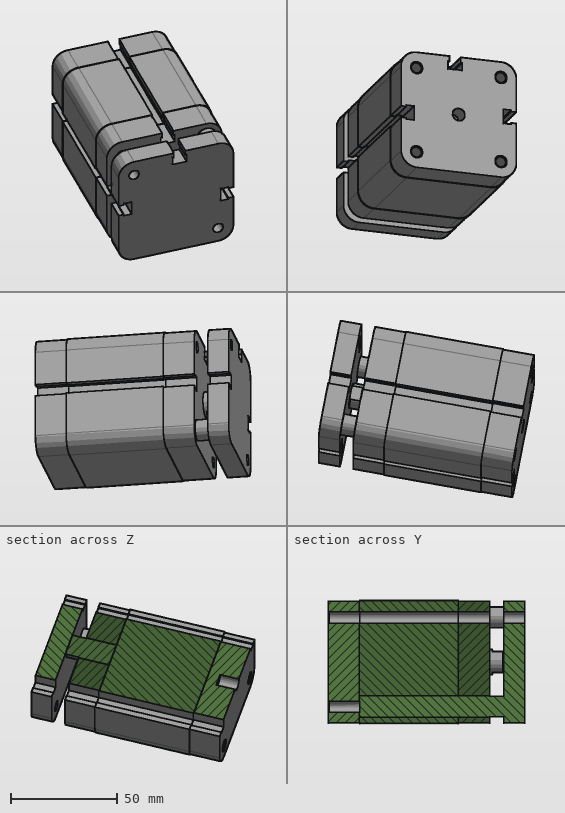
import cadquery as cq

TOTAL_LENGTH = 92.5
CAP_LENGTH = 14.8
PLATE_LENGTH = 10.0
ROD_GAP = 6.5
PLATE_START = TOTAL_LENGTH - PLATE_LENGTH
HOUSING_LENGTH = PLATE_START - ROD_GAP
TUBE_START = CAP_LENGTH
FRONT_CAP_START = HOUSING_LENGTH - CAP_LENGTH
TUBE_LENGTH = FRONT_CAP_START - TUBE_START

TUBE_WIDTH = 58.0
CORNER_RADIUS = 8.0
INSET = 0.3

SLOT_OFFSET = 1.8
SLOT_DEPTH = 6.5
SLOT_LIP = 2.9
SLOT_OPENING = 5.1
SLOT_UNDERCUT = 6.5
SLOT_ANGLES = (0, 90, -90)

CORNER_SPACING = 42.0
GUIDE_CORNERS = [(1, 1), (-1, -1)]
OPEN_CORNERS = [(-1, 1), (1, -1)]
SCREW_HOLE_DIAMETER = 5.0
SCREW_HOLE_CHAMFER = 0.5
GUIDE_DIAMETER = 9.9

CENTER_HOLE_DIAMETER = 6.1
CENTER_HOLE_DEPTH = 9.25

ROD_DIAMETER = 12.0
ROD_CHAMFER = 0.5
FLATS_WIDTH = 10.0
FLATS_START = HOUSING_LENGTH + 1.4
FLATS_RUNOUT = 0.3


def cylinder(start, length, diameter):
    """Cylinder on the X axis that starts at X = start."""
    return cq.Workplane("YZ", origin=(start, 0, 0)).circle(diameter / 2).extrude(length)


def corner_cylinders(corners, start, length, diameter):
    """Cylinders along +X centred on the given corners."""
    half_spacing = CORNER_SPACING / 2
    points = [(side_y * half_spacing, side_z * half_spacing) for side_y, side_z in corners]
    return (
        cq.Workplane("YZ", origin=(start, 0, 0))
        .pushPoints(points)
        .circle(diameter / 2)
        .extrude(length)
    )


def slot_cutter(start, length, inset):
    """T-shaped bar for the slot in the +Z side, widened and deepened by the inset."""
    top = TUBE_WIDTH / 2
    half_opening = SLOT_OPENING / 2 + inset
    half_undercut = SLOT_UNDERCUT / 2 + inset
    lip_bottom = top - SLOT_LIP
    floor = top - SLOT_DEPTH - inset
    return (
        cq.Workplane("YZ", origin=(start, 0, 0))
        .moveTo(SLOT_OFFSET - half_opening, top)
        .hLineTo(SLOT_OFFSET + half_opening)
        .vLineTo(lip_bottom)
        .hLineTo(SLOT_OFFSET + half_undercut)
        .vLineTo(floor)
        .hLineTo(SLOT_OFFSET - half_undercut)
        .vLineTo(lip_bottom)
        .hLineTo(SLOT_OFFSET - half_opening)
        .close()
        .extrude(length)
    )


def slotted_block(start, length, inset=0.0):
    """Rounded square block with a T-slot along the top and both sides."""
    width = TUBE_WIDTH - 2 * inset
    block = (
        cq.Workplane("YZ", origin=(start, 0, 0))
        .rect(width, width)
        .extrude(length)
        .edges("|X")
        .fillet(CORNER_RADIUS - inset)
    )
    slot = slot_cutter(start, length, inset)
    for angle in SLOT_ANGLES:
        block = block.cut(slot.rotate((0, 0, 0), (1, 0, 0), angle))
    return block


def make_rear_cap():
    """Cap with four chamfered screw holes and a blind hole in the middle."""
    corners = GUIDE_CORNERS + OPEN_CORNERS
    holes = corner_cylinders(corners, 0, CAP_LENGTH, SCREW_HOLE_DIAMETER)
    center_hole = cylinder(0, CENTER_HOLE_DEPTH, CENTER_HOLE_DIAMETER)
    cap = slotted_block(0, CAP_LENGTH, INSET).cut(holes)
    hole_rims = cq.selectors.RadiusNthSelector(0)
    cap = cap.faces("<X").edges(hole_rims).chamfer(SCREW_HOLE_CHAMFER)
    return cap.cut(center_hole)


def make_tube():
    """Middle section with bores for the guide rods and two open screw holes."""
    guide_bores = corner_cylinders(GUIDE_CORNERS, TUBE_START, TUBE_LENGTH, GUIDE_DIAMETER)
    holes = corner_cylinders(OPEN_CORNERS, TUBE_START, TUBE_LENGTH, SCREW_HOLE_DIAMETER)
    return slotted_block(TUBE_START, TUBE_LENGTH).cut(guide_bores).cut(holes)


def make_front_cap():
    """Cap with bores for the piston rod and guide rods and two open screw holes."""
    guide_bores = corner_cylinders(GUIDE_CORNERS, FRONT_CAP_START, CAP_LENGTH, GUIDE_DIAMETER)
    holes = corner_cylinders(OPEN_CORNERS, FRONT_CAP_START, CAP_LENGTH, SCREW_HOLE_DIAMETER)
    rod_bore = cylinder(FRONT_CAP_START, CAP_LENGTH, ROD_DIAMETER)
    block = slotted_block(FRONT_CAP_START, CAP_LENGTH, INSET)
    return block.cut(guide_bores).cut(holes).cut(rod_bore)


def make_yoke():
    """Front plate together with the two guide rods that run back to the rear cap."""
    plate = slotted_block(PLATE_START, PLATE_LENGTH, INSET)
    holes = corner_cylinders(OPEN_CORNERS, PLATE_START, PLATE_LENGTH, SCREW_HOLE_DIAMETER)
    guide_rods = corner_cylinders(
        GUIDE_CORNERS, TUBE_START, PLATE_START - TUBE_START, GUIDE_DIAMETER
    )
    return plate.cut(holes).union(guide_rods)


def make_piston_rod():
    """Rod with a chamfered tip against the plate and flats on its top and bottom."""
    length = PLATE_START - FRONT_CAP_START
    rod = cylinder(FRONT_CAP_START, length, ROD_DIAMETER).faces(">X").chamfer(ROD_CHAMFER)
    radius = ROD_DIAMETER / 2
    flat_height = FLATS_WIDTH / 2
    flat_cutter = (
        cq.Workplane("XZ")
        .moveTo(FLATS_START, flat_height)
        .hLineTo(PLATE_START)
        .vLineTo(radius)
        .hLineTo(FLATS_START - FLATS_RUNOUT)
        .close()
        .extrude(radius, both=True)
    )
    return rod.cut(flat_cutter).cut(flat_cutter.mirror("XY"))


rear_cap = make_rear_cap()
tube = make_tube()
front_cap = make_front_cap()
yoke = make_yoke()
piston_rod = make_piston_rod()

result = cq.Compound.makeCompound(
    [rear_cap.val(), tube.val(), front_cap.val(), yoke.val(), piston_rod.val()]
)